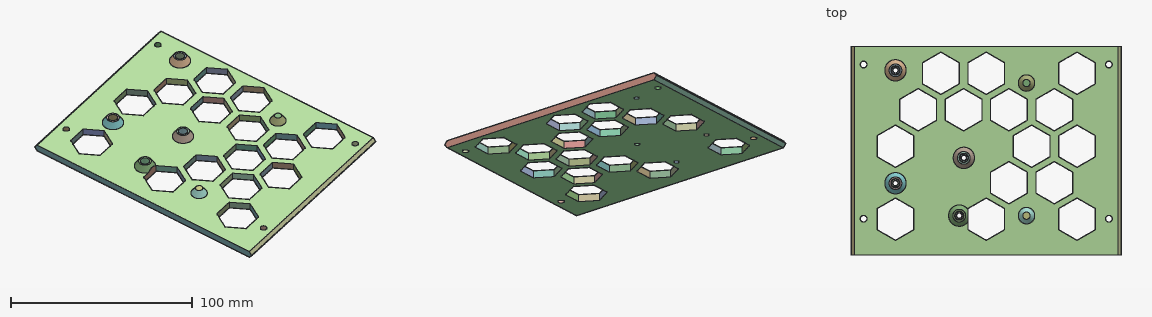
import cadquery as cq
import math

length = 148.6
width = 114.9
total_height = 8.0
boss_height = 3.7
thickness = total_height - boss_height
bevel = 1.8

screw_diameter = 3.5
screw_x = 67.5
screw_y_spacing = 84.9
screw_y_center = 5.0

hex_flats = 20.0
hex_web = 4.9
hex_column_step = (hex_flats + hex_web) / 2
hex_row_step = 20.0
hex_middle_row_y = 2.5
hex_columns_by_row = {
    2: (-2, 0, 4),
    1: (-3, -1, 1, 3),
    0: (-4, 2, 4),
    -1: (1, 3),
    -2: (-4, 0, 4),
}

boss_base_diameter = 11.7
boss_top_diameter = 7.0
boss_bore_diameter = 2.8
boss_recess_top_diameter = 5.0
boss_recess_floor_diameter = 4.5
boss_recess_depth = 5.2
boss_centers = [(-50.0, 44.3), (-50.0, -17.8), (-12.3, -3.9), (-14.9, -35.7)]

peg_base_diameter = 9.0
peg_top_diameter = 4.0
peg_x = 22.1
peg_centers = [(peg_x, 37.3), (peg_x, -35.7)]


def make_plate():
    half_length = length / 2
    profile = [
        (-half_length, thickness / 2),
        (-half_length + bevel, thickness),
        (half_length - bevel, thickness),
        (half_length, thickness / 2),
        (half_length - bevel, 0),
        (-half_length + bevel, 0),
    ]
    return cq.Workplane("XZ").polyline(profile).close().extrude(width / 2, both=True)


def make_cones(centers, bottom_diameter, top_diameter, bottom, height):
    cone = cq.Solid.makeCone(bottom_diameter / 2, top_diameter / 2, height)
    cones = cq.Workplane("XY")
    for x, y in centers:
        cones = cones.add(cone.moved(cq.Location(cq.Vector(x, y, bottom))))
    return cones.combine()


def make_cylinders(centers, diameter, bottom, top):
    plane = cq.Workplane("XY").workplane(offset=bottom)
    return plane.pushPoints(centers).circle(diameter / 2).extrude(top - bottom)


def make_hexagons():
    centers = []
    for row, columns in hex_columns_by_row.items():
        for column in columns:
            x = column * hex_column_step
            y = hex_middle_row_y + row * hex_row_step
            centers.append((x, y))
    corner_diameter = 2 * hex_flats / math.sqrt(3)
    turned_plane = cq.Plane(origin=(0, 0, 0), xDir=(0, 1, 0), normal=(0, 0, 1))
    turned_centers = [(y, -x) for x, y in centers]
    sketch = cq.Workplane(turned_plane).pushPoints(turned_centers)
    return sketch.polygon(6, corner_diameter).extrude(total_height)


screw_y_low = screw_y_center - screw_y_spacing / 2
screw_y_high = screw_y_center + screw_y_spacing / 2
screw_centers = [(x, y) for x in (-screw_x, screw_x) for y in (screw_y_low, screw_y_high)]

recess_floor = total_height - boss_recess_depth
boss_recesses = make_cones(
    boss_centers, boss_recess_floor_diameter, boss_recess_top_diameter, recess_floor, boss_recess_depth
)

result = make_plate()
result = result.union(make_cones(boss_centers, boss_base_diameter, boss_top_diameter, thickness, boss_height))
result = result.union(make_cones(peg_centers, peg_base_diameter, peg_top_diameter, thickness, boss_height))
result = result.cut(make_hexagons())
result = result.cut(make_cylinders(screw_centers, screw_diameter, 0, thickness))
result = result.cut(make_cylinders(boss_centers, boss_bore_diameter, 0, total_height))
result = result.cut(boss_recesses)